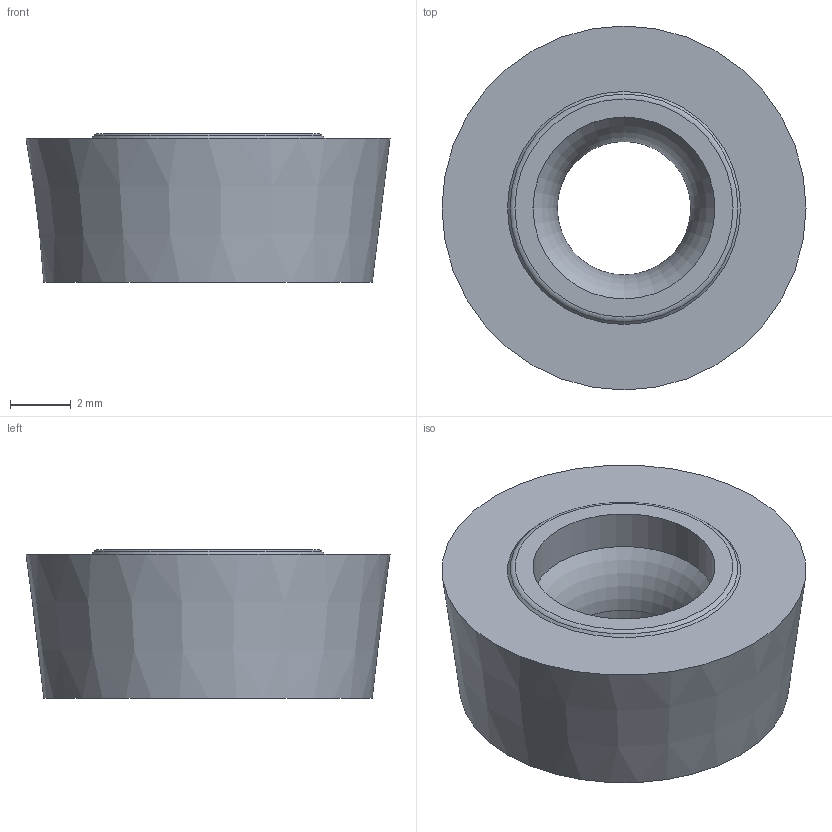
import cadquery as cq
import math

top_radius = 6.0
body_height = 4.76
relief_angle = math.radians(7)
bottom_radius = top_radius - body_height * math.tan(relief_angle)

ring_height = 0.15
ring_base_radius = 3.84
ring_top_radius = ring_base_radius - ring_height
ring_edge_fillet = 0.23
overall_height = body_height + ring_height

mouth_radius = 3.0
mouth_depth = 1.32
bore_radius = 2.2
seat_arc_radius = 2.9
seat_width = mouth_radius - bore_radius
seat_height = math.sqrt(seat_arc_radius**2 - (seat_arc_radius - seat_width) ** 2)
seat_top = overall_height - mouth_depth
seat_bottom = seat_top - seat_height


def revolve_about_z(profile):
    """Turn a closed (radius, height) profile around the Z axis."""
    return profile.close().revolve(360, (0, 0, 0), (0, 1, 0))


def make_body():
    profile = (
        cq.Workplane("XZ")
        .lineTo(bottom_radius, 0)
        .lineTo(top_radius, body_height)
        .lineTo(0, body_height)
    )
    return revolve_about_z(profile)


def make_ring():
    profile = (
        cq.Workplane("XZ")
        .moveTo(0, body_height)
        .lineTo(ring_base_radius, body_height)
        .lineTo(ring_top_radius, overall_height)
        .lineTo(0, overall_height)
    )
    return revolve_about_z(profile).edges(">Z").fillet(ring_edge_fillet)


def make_screw_hole():
    arc_centre_radius = bore_radius + seat_arc_radius
    half_sweep = math.asin(seat_height / seat_arc_radius) / 2
    seat_middle = (
        arc_centre_radius - seat_arc_radius * math.cos(half_sweep),
        seat_bottom + seat_arc_radius * math.sin(half_sweep),
    )
    profile = (
        cq.Workplane("XZ")
        .lineTo(bore_radius, 0)
        .lineTo(bore_radius, seat_bottom)
        .threePointArc(seat_middle, (mouth_radius, seat_top))
        .lineTo(mouth_radius, overall_height)
        .lineTo(0, overall_height)
    )
    return revolve_about_z(profile)


result = make_body().union(make_ring()).cut(make_screw_hole())